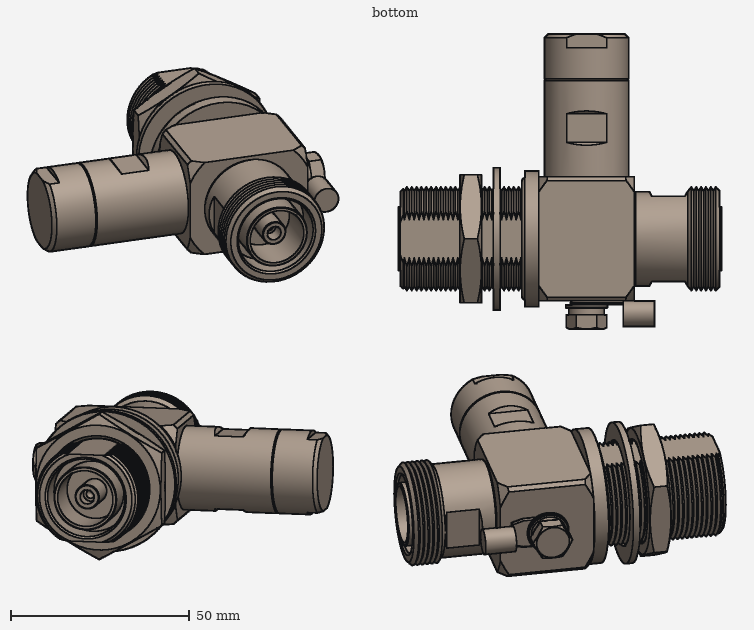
import cadquery as cq
import math


left_tip = -52.8
right_tip = left_tip + 90.8
tip_overhang = 0.6
left_end = left_tip + tip_overhang
right_end = right_tip - tip_overhang

thread_crest_radius = 29.1 / 2
thread_root_radius = 27.0 / 2
thread_pitch = 1.4
rod_lead_in_radius = 13.25
rod_first_crest = 1.8
rod_crest_count = 24
rod_flat_half_height = 24.8 / 2
stub_end_crest = 1.1
stub_crest_count = 6

block_half_length = 26.8 / 2
block_half_width = 17.4
block_half_height = 14.2
block_edge_chamfer = 1.1
block_turned_radius = 19.3
flange_radius = 19.1
flange_thickness = 3.9
flange_face = -block_half_length - flange_thickness

stub_radius = 13.25
stub_end_chamfer = 0.4
stub_shoulder_length = 1.1
stub_flat_half_width = 12.0
stub_flat_start = 18.3
stub_flat_end = 27.6

branch_radius = 23.7 / 2
branch_end = -44.4
branch_flat_half_height = 10.4
branch_flat_start = -35.0
branch_flat_end = -27.05
cap_end = -57.45
cap_groove_chamfer = 0.45
cap_end_chamfer = 1.1
cap_flat_length = 3.9
flat_runout = math.tan(math.radians(30))

shell_bore_radius = 11.1
shell_bore_chamfer = 0.5
shell_bore_depth = 9.1
sleeve_outer_radius = 17.9 / 2
sleeve_inner_radius = 15.9 / 2
sleeve_tip_chamfer = 0.2
sleeve_bore_depth = 12.7
pin_radius = 6.8 / 2
pin_setback = 2.45
pin_tip_chamfer = 0.2
pin_bore_radius = 2.0
pin_bore_depth = 4.5
pin_drill_radius = 1.2
pin_drill_depth = 0.7

nut_start = -35.5
nut_width = 6.1
nut_corner_radius = 41.5 / 2
nut_face_radius = 17.8
nut_chamfer_length = 1.2
nut_bore_radius = 13.8
nut_bore_mouth_radius = 14.8
panel_washer_start = -26.1
panel_washer_thickness = 1.9
panel_washer_radius = 20.0
panel_washer_bore = 15.0
o_ring_cord_radius = 1.3
o_ring_mean_radius = 16.0
o_ring_seat_depth = 1.6
o_ring_center = flange_face + o_ring_seat_depth - o_ring_cord_radius

lug_thickness = 1.1
flat_washer_thickness = 1.0
flat_washer_radius = 5.9
flat_washer_chamfer = 0.3
spring_washer_thickness = 1.8
spring_washer_radius = 5.0
spring_washer_gap = 0.6
spring_washer_gap_angle = 32.0
head_across_flats = 9.9
head_face_radius = 4.7
head_chamfer_height = 0.5
head_top = 25.4
shank_radius = 3.0
shank_depth = 9.1
lug_end_radius = 4.5
lug_edge_chamfer = 0.45
lug_straight_end = 7.0
barrel_start = 10.3
barrel_end = 19.1
barrel_radius = 7.2 / 2

lug_base = block_half_width
flat_washer_base = lug_base + lug_thickness
spring_washer_base = flat_washer_base + flat_washer_thickness
head_base = spring_washer_base + spring_washer_thickness


def turned_about_x(points):
    """Solid of revolution about X from (x, radius) points."""
    return cq.Workplane("XZ").polyline(points).close().revolve(360, (0, 0, 0), (1, 0, 0))


def turned_about_y(points):
    """Solid of revolution about Y from (y, radius) points."""
    return cq.Workplane("YZ").polyline(points).close().revolve(360, (0, 0, 0), (1, 0, 0))


def disc_along_y(start, height, radius):
    return turned_about_y([(start, 0), (start, radius), (start + height, radius), (start + height, 0)])


def box_between(x_range, y_range, z_range):
    spans = (x_range, y_range, z_range)
    sizes = [high - low for low, high in spans]
    middles = [(high + low) / 2 for low, high in spans]
    return cq.Workplane("XY").box(*sizes).translate(tuple(middles))


def thread_points(first_crest, crest_count):
    """Alternating crests and roots, beginning and ending on a crest."""
    points = [(first_crest, thread_crest_radius)]
    for index in range(1, crest_count):
        crest = first_crest + index * thread_pitch
        points.append((crest - thread_pitch / 2, thread_root_radius))
        points.append((crest, thread_crest_radius))
    return points


def threaded_rod():
    """Left rod before its flats are cut, with a 45 degree lead-in that clips the first ridge."""
    first_crest = left_end + rod_first_crest
    last_crest = first_crest + (rod_crest_count - 1) * thread_pitch
    first_root = first_crest - thread_pitch / 2
    flank_slope = (thread_crest_radius - thread_root_radius) / (thread_pitch / 2)
    lead_in_gap = first_root - left_end
    clipped = (thread_root_radius + flank_slope * lead_in_gap - rod_lead_in_radius) / (1 + flank_slope)
    return turned_about_x(
        [
            (left_end, 0),
            (left_end, rod_lead_in_radius),
            (left_end + clipped, rod_lead_in_radius + clipped),
            (first_root, thread_root_radius),
            *thread_points(first_crest, rod_crest_count),
            (last_crest + thread_pitch / 2, thread_root_radius),
            (flange_face, thread_root_radius),
            (flange_face, 0),
        ]
    )


def flattened_rod():
    side = 2 * thread_crest_radius
    slab = box_between(
        (left_end, flange_face),
        (-side, side),
        (-rod_flat_half_height, rod_flat_half_height),
    )
    return threaded_rod().intersect(slab)


def flange():
    return (
        cq.Workplane("YZ", origin=(flange_face, 0, 0)).circle(flange_radius).extrude(flange_thickness)
    )


def central_block():
    """Rectangular block with chamfered long edges and corners turned off at both ends."""
    block = cq.Workplane("XY").box(2 * block_half_length, 2 * block_half_width, 2 * block_half_height)
    block = block.edges("|X").chamfer(block_edge_chamfer)
    turned_corners = turned_about_x(
        [
            (-block_half_length, 0),
            (-block_half_length, block_turned_radius),
            (0, block_turned_radius + block_half_length),
            (block_half_length, block_turned_radius),
            (block_half_length, 0),
        ]
    )
    return block.intersect(turned_corners)


def stub():
    """Right-hand threaded stub with a wrench flat on each Y side."""
    last_crest = right_end - stub_end_crest
    first_crest = last_crest - (stub_crest_count - 1) * thread_pitch
    body = turned_about_x(
        [
            (block_half_length, 0),
            (block_half_length, stub_radius - stub_end_chamfer),
            (block_half_length + stub_end_chamfer, stub_radius),
            (first_crest - stub_shoulder_length, stub_radius),
            *thread_points(first_crest, stub_crest_count),
            (right_end, thread_root_radius),
            (right_end, 0),
        ]
    )
    depth = thread_crest_radius - stub_flat_half_width
    runout = depth * flat_runout
    cutter = (
        cq.Workplane("XY")
        .polyline(
            [
                (stub_flat_start, stub_flat_half_width),
                (stub_flat_end, stub_flat_half_width),
                (stub_flat_end + runout, stub_flat_half_width + depth),
                (stub_flat_start - runout, stub_flat_half_width + depth),
            ]
        )
        .close()
        .extrude(thread_crest_radius, both=True)
    )
    return body.cut(cutter).cut(cutter.mirror("XZ"))


def branch():
    """Branch tube along -Y with a wrench flat on top and bottom."""
    body = disc_along_y(branch_end, -block_half_width - branch_end, branch_radius)
    depth = branch_radius - branch_flat_half_height
    runout = depth * flat_runout
    cutter = (
        cq.Workplane("YZ")
        .polyline(
            [
                (branch_flat_start, branch_flat_half_height),
                (branch_flat_end, branch_flat_half_height),
                (branch_flat_end + runout, branch_radius),
                (branch_flat_start - runout, branch_radius),
            ]
        )
        .close()
        .extrude(branch_radius, both=True)
    )
    return body.cut(cutter).cut(cutter.mirror("XY"))


def contact_sleeve():
    """Sleeve tip standing out of the left shell end; it continues inward as the wall between two bores."""
    return turned_about_x(
        [
            (left_tip, 0),
            (left_tip, sleeve_outer_radius - sleeve_tip_chamfer),
            (left_tip + sleeve_tip_chamfer, sleeve_outer_radius),
            (left_end + shell_bore_depth, sleeve_outer_radius),
            (left_end + shell_bore_depth, 0),
        ]
    )


def shell_bore():
    """Flared bore of the left shell, to be refilled by the contact sleeve."""
    return turned_about_x(
        [
            (left_end, 0),
            (left_end, shell_bore_radius + shell_bore_chamfer),
            (left_end + shell_bore_chamfer, shell_bore_radius),
            (left_end + shell_bore_depth, shell_bore_radius),
            (left_end + shell_bore_depth, 0),
        ]
    )


def sleeve_bore():
    """Space inside the left contact sleeve, around and within the hollow centre pin."""
    floor = left_tip + sleeve_bore_depth
    pin_face = left_tip + pin_setback
    pin_floor = pin_face + pin_bore_depth
    return turned_about_x(
        [
            (left_tip, 0),
            (left_tip, sleeve_inner_radius),
            (floor, sleeve_inner_radius),
            (floor, pin_radius),
            (pin_face + pin_tip_chamfer, pin_radius),
            (pin_face, pin_radius - pin_tip_chamfer),
            (pin_face, pin_bore_radius),
            (pin_floor, pin_bore_radius),
            (pin_floor, pin_drill_radius),
            (pin_floor + pin_drill_depth, 0),
        ]
    )


def at_both_ends(left_feature):
    """The given left-end feature and its mirror image at the right end."""
    middle = ((left_tip + right_tip) / 2, 0, 0)
    return [left_feature, left_feature.mirror("YZ", basePointVector=middle)]


def make_o_ring():
    ring = cq.Solid.makeTorus(
        o_ring_mean_radius, o_ring_cord_radius, cq.Vector(o_ring_center, 0, 0), cq.Vector(1, 0, 0)
    )
    return cq.Workplane(obj=ring)


def make_housing():
    body = flange().union(central_block()).union(flattened_rod()).union(stub()).union(branch())
    for bore in at_both_ends(shell_bore()):
        body = body.cut(bore)
    for sleeve in at_both_ends(contact_sleeve()):
        body = body.union(sleeve)
    for bore in at_both_ends(sleeve_bore()):
        body = body.cut(bore)
    bolt_hole = disc_along_y(block_half_width - shank_depth, shank_depth, shank_radius)
    return body.cut(bolt_hole).cut(make_o_ring())


def make_end_cap():
    """Cap on the branch end, with a flat on top and bottom that runs out at its end face."""
    body = turned_about_y(
        [
            (branch_end, 0),
            (branch_end, branch_radius - cap_groove_chamfer),
            (branch_end - cap_groove_chamfer, branch_radius),
            (cap_end + cap_end_chamfer, branch_radius),
            (cap_end, branch_radius - cap_end_chamfer),
            (cap_end, 0),
        ]
    )
    cutter = box_between(
        (-branch_radius, branch_radius),
        (cap_end, cap_end + cap_flat_length),
        (branch_flat_half_height, branch_radius),
    )
    return body.cut(cutter).cut(cutter.mirror("XY"))


def make_ring_nut():
    """Hexagon nut with corners up and down, chamfered on both faces and threaded onto the rod."""
    nut_end = nut_start + nut_width
    middle = nut_start + nut_width / 2
    blank = cq.Workplane("YZ", origin=(nut_start, 0, 0)).polygon(6, 2 * nut_corner_radius).extrude(nut_width)
    blank = blank.rotate((0, 0, 0), (1, 0, 0), 90)
    cone_slope = (nut_corner_radius - nut_face_radius) / nut_chamfer_length
    cones = turned_about_x(
        [
            (nut_start, 0),
            (nut_start, nut_face_radius),
            (middle, nut_face_radius + cone_slope * nut_width / 2),
            (nut_end, nut_face_radius),
            (nut_end, 0),
        ]
    )
    mouth_depth = nut_bore_mouth_radius - nut_bore_radius
    bore = turned_about_x(
        [
            (nut_start, 0),
            (nut_start, nut_bore_mouth_radius),
            (nut_start + mouth_depth, nut_bore_radius),
            (nut_end - mouth_depth, nut_bore_radius),
            (nut_end, nut_bore_mouth_radius),
            (nut_end, 0),
        ]
    )
    return blank.intersect(cones).cut(bore).cut(threaded_rod())


def make_panel_washer():
    return (
        cq.Workplane("YZ", origin=(panel_washer_start, 0, 0))
        .circle(panel_washer_radius)
        .circle(panel_washer_bore)
        .extrude(panel_washer_thickness)
    )


def make_lug():
    """Flat tongue with a rounded end under the bolt, narrowing to a solid round barrel."""
    barrel_axis = lug_base + barrel_radius
    tongue = (
        cq.Workplane("XZ", origin=(0, lug_base, 0))
        .moveTo(0, lug_end_radius)
        .threePointArc((-lug_end_radius, 0), (0, -lug_end_radius))
        .lineTo(lug_straight_end, -lug_end_radius)
        .lineTo(barrel_start, -barrel_radius)
        .lineTo(barrel_start, barrel_radius)
        .lineTo(lug_straight_end, lug_end_radius)
        .close()
        .extrude(-lug_thickness)
    )
    tongue = tongue.faces(">Y or <Y").edges("not(>X)").chamfer(lug_edge_chamfer)
    barrel = (
        cq.Workplane("YZ", origin=(barrel_start, barrel_axis, 0))
        .circle(barrel_radius)
        .extrude(barrel_end - barrel_start)
    )
    return tongue.union(barrel).cut(disc_along_y(lug_base, lug_thickness, shank_radius))


def make_flat_washer():
    top = flat_washer_base + flat_washer_thickness
    return turned_about_y(
        [
            (flat_washer_base, shank_radius),
            (flat_washer_base, flat_washer_radius),
            (top - flat_washer_chamfer, flat_washer_radius),
            (top, flat_washer_radius - flat_washer_chamfer),
            (top, shank_radius),
        ]
    )


def make_spring_washer():
    """Split ring with one radial gap."""
    top = spring_washer_base + spring_washer_thickness
    ring = turned_about_y(
        [
            (spring_washer_base, shank_radius),
            (spring_washer_base, spring_washer_radius),
            (top, spring_washer_radius),
            (top, shank_radius),
        ]
    )
    gap = box_between(
        (-spring_washer_gap / 2, spring_washer_gap / 2),
        (spring_washer_base, top),
        (0, 2 * spring_washer_radius),
    )
    return ring.cut(gap.rotate((0, 0, 0), (0, 1, 0), spring_washer_gap_angle))


def make_bolt():
    """Hexagon bolt with a chamfered head; its shank fills the hole in the housing."""
    corner_radius = head_across_flats / 2 / math.cos(math.radians(30))
    head_height = head_top - head_base
    head = cq.Workplane("XZ", origin=(0, head_base, 0)).polygon(6, 2 * corner_radius).extrude(-head_height)
    cone_slope = (corner_radius - head_face_radius) / head_chamfer_height
    cone = turned_about_y(
        [
            (head_base, 0),
            (head_base, head_face_radius + cone_slope * head_height),
            (head_top, head_face_radius),
            (head_top, 0),
        ]
    )
    shank_tip = block_half_width - shank_depth
    shank = disc_along_y(shank_tip, head_base - shank_tip, shank_radius)
    return head.intersect(cone).union(shank)


housing = make_housing()
end_cap = make_end_cap()
ring_nut = make_ring_nut()
panel_washer = make_panel_washer()
o_ring = make_o_ring()
lug = make_lug()
flat_washer = make_flat_washer()
spring_washer = make_spring_washer()
bolt = make_bolt()

result = cq.Compound.makeCompound(
    [
        housing.val(),
        end_cap.val(),
        ring_nut.val(),
        panel_washer.val(),
        o_ring.val(),
        lug.val(),
        flat_washer.val(),
        spring_washer.val(),
        bolt.val(),
    ]
)